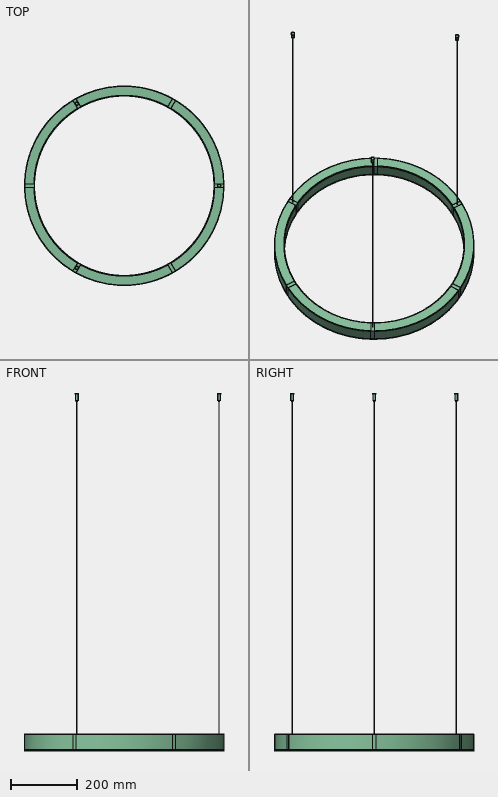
import cadquery as cq

TOTAL_HEIGHT = 1073.0
RING_OUTER_DIAMETER = 600.0
RING_INNER_DIAMETER = 540.0
RING_HEIGHT = 50.0

TOP_OUTER_DIAMETER = 598.0
TOP_INNER_DIAMETER = 544.0
BEVEL_DROP = 2.0

DIFFUSER_THICKNESS = 3.0

BAND_COUNT = 6
BAND_WIDTH = 11.0
BAND_DEPTH = 0.5

CABLE_COUNT = 3
CABLE_DIAMETER = 1.2
CAP_DIAMETER = 11.0
CAP_THICKNESS = 1.0
BARREL_DIAMETER = 9.0
BARREL_LENGTH = 19.0
COLLAR_DIAMETER = 4.0
COLLAR_LENGTH = 3.0

RING_MID_RADIUS = (RING_OUTER_DIAMETER + RING_INNER_DIAMETER) / 4
RING_WIDTH = (RING_OUTER_DIAMETER - RING_INNER_DIAMETER) / 2
CAP_BOTTOM = TOTAL_HEIGHT - CAP_THICKNESS
BARREL_BOTTOM = CAP_BOTTOM - BARREL_LENGTH
CABLE_BOTTOM = RING_HEIGHT - BAND_DEPTH
COLLAR_BOTTOM = BARREL_BOTTOM - COLLAR_LENGTH


def annulus(outer_diameter, inner_diameter, bottom, height):
    """Flat circular ring standing on the given level."""
    return (
        cq.Workplane("XY")
        .workplane(offset=bottom)
        .circle(outer_diameter / 2)
        .circle(inner_diameter / 2)
        .extrude(height)
    )


def cylinder(diameter, bottom, top):
    """Upright cylinder over the middle of the ring profile at angle zero."""
    return (
        cq.Workplane("XY")
        .workplane(offset=bottom)
        .center(RING_MID_RADIUS, 0)
        .circle(diameter / 2)
        .extrude(top - bottom)
    )


def turned(body, index, count):
    """Copy of a body turned about the ring axis to its place in the pattern."""
    return body.rotate((0, 0, 0), (0, 0, 1), index * 360 / count)


def make_bevelled_ring():
    """Housing profile with bevelled top edges, turned about the ring axis."""
    outer_radius = RING_OUTER_DIAMETER / 2
    inner_radius = RING_INNER_DIAMETER / 2
    bevel_bottom = RING_HEIGHT - BEVEL_DROP
    return (
        cq.Workplane("XZ")
        .moveTo(inner_radius, DIFFUSER_THICKNESS)
        .lineTo(outer_radius, DIFFUSER_THICKNESS)
        .lineTo(outer_radius, bevel_bottom)
        .lineTo(TOP_OUTER_DIAMETER / 2, RING_HEIGHT)
        .lineTo(TOP_INNER_DIAMETER / 2, RING_HEIGHT)
        .lineTo(inner_radius, bevel_bottom)
        .close()
        .revolve(360, (0, 0, 0), (0, 1, 0))
    )


def make_slab(width, bottom, height):
    """Upright slab reaching across the ring profile at angle zero."""
    return (
        cq.Workplane("XY")
        .box(2 * RING_WIDTH, width, height, centered=(True, True, False))
        .translate((RING_MID_RADIUS, 0, bottom))
    )


def make_housing():
    """Bevelled ring with a square-edged, slightly recessed band at each joint."""
    height = RING_HEIGHT - DIFFUSER_THICKNESS
    slab = make_slab(BAND_WIDTH, DIFFUSER_THICKNESS, height)
    band = annulus(
        RING_OUTER_DIAMETER - 2 * BAND_DEPTH,
        RING_INNER_DIAMETER + 2 * BAND_DEPTH,
        DIFFUSER_THICKNESS,
        height - BAND_DEPTH,
    ).intersect(slab)
    housing = make_bevelled_ring()
    for index in range(BAND_COUNT):
        housing = housing.cut(turned(slab, index, BAND_COUNT))
    for index in range(BAND_COUNT):
        housing = housing.union(turned(band, index, BAND_COUNT))
    return housing


def make_diffuser():
    """Thin flat ring directly under the housing."""
    return annulus(RING_OUTER_DIAMETER, RING_INNER_DIAMETER, 0, DIFFUSER_THICKNESS)


def make_cable(index):
    """Wire from the top of a joint band up to its ceiling anchor."""
    return turned(cylinder(CABLE_DIAMETER, CABLE_BOTTOM, COLLAR_BOTTOM), index, CABLE_COUNT)


def make_anchor(index):
    """Barrel with a wider cap against the ceiling and a narrow collar at the cable."""
    cap = cylinder(CAP_DIAMETER, CAP_BOTTOM, TOTAL_HEIGHT)
    barrel = cylinder(BARREL_DIAMETER, BARREL_BOTTOM, CAP_BOTTOM)
    collar = cylinder(COLLAR_DIAMETER, COLLAR_BOTTOM, BARREL_BOTTOM)
    return turned(cap.union(barrel).union(collar), index, CABLE_COUNT)


housing = make_housing()
diffuser = make_diffuser()
cables = [make_cable(index).val() for index in range(CABLE_COUNT)]
anchors = [make_anchor(index).val() for index in range(CABLE_COUNT)]
result = cq.Compound.makeCompound([housing.val(), diffuser.val(), *cables, *anchors])